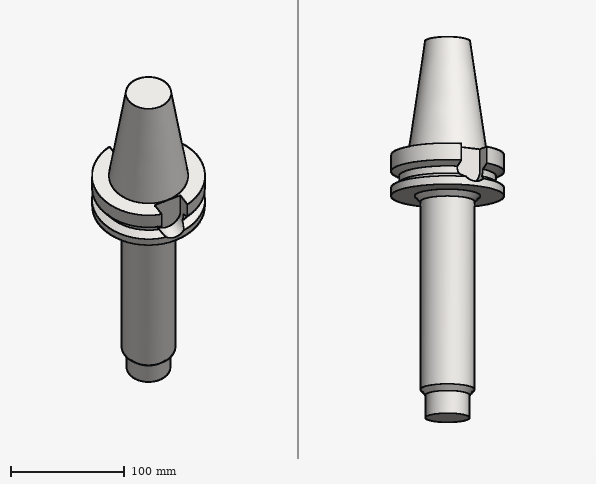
import cadquery as cq

total_height = 339.8
taper_base_z = 238.0
flange_top_z = 237.2
flange_bottom_z = 200.0
nose_length = 20.5
nose_cone_height = 5.0

taper_small_diameter = 40.0
taper_large_diameter = 70.0
flange_diameter = 100.0
groove_diameter = 85.5
shank_diameter = 48.0
nose_diameter = 39.0

lower_rim_height = 7.5
groove_floor_height = 6.5
groove_flank_height = 4.0

collar_height = 5.0
collar_diameter = shank_diameter + 2 * collar_height

slot_width = 25.8
slot_depth = 33.0
slot_floor_x = 35.5


def make_body():
    """Revolve the half profile of the whole holder about the Z axis."""
    groove_lower_edge = flange_bottom_z + lower_rim_height
    groove_floor_bottom = groove_lower_edge + groove_flank_height
    groove_floor_top = groove_floor_bottom + groove_floor_height
    groove_upper_edge = groove_floor_top + groove_flank_height
    stations = [
        (nose_diameter, 0),
        (nose_diameter, nose_length),
        (shank_diameter, nose_length + nose_cone_height),
        (shank_diameter, flange_bottom_z - collar_height),
        (collar_diameter, flange_bottom_z),
        (flange_diameter, flange_bottom_z),
        (flange_diameter, groove_lower_edge),
        (groove_diameter, groove_floor_bottom),
        (groove_diameter, groove_floor_top),
        (flange_diameter, groove_upper_edge),
        (flange_diameter, flange_top_z),
        (taper_large_diameter, flange_top_z),
        (taper_large_diameter, taper_base_z),
        (taper_small_diameter, total_height),
    ]
    outline = [(diameter / 2, z) for diameter, z in stations]
    profile = cq.Workplane("XZ").polyline([(0, 0), *outline, (0, total_height)]).close()
    return profile.revolve(360, (0, 0, 0), (0, 1, 0))


def make_drive_slot(side):
    """Round-bottomed slot cutter, open upward, on the +X (side=1) or -X (side=-1) flank."""
    half_width = slot_width / 2
    bottom_z = flange_top_z - slot_depth
    return (
        cq.Workplane("YZ", origin=(side * slot_floor_x, 0, 0))
        .moveTo(-half_width, taper_base_z)
        .lineTo(-half_width, bottom_z + half_width)
        .threePointArc((0, bottom_z), (half_width, bottom_z + half_width))
        .lineTo(half_width, taper_base_z)
        .close()
        .extrude(side * flange_diameter / 2)
    )


result = make_body()
for side in (-1, 1):
    result = result.cut(make_drive_slot(side))